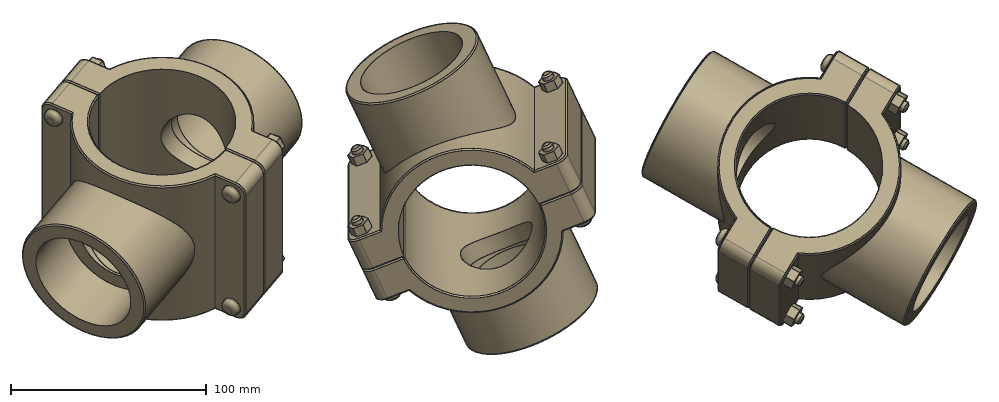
import cadquery as cq
import math


LENGTH = 156.0
WIDTH = 122.0
HEIGHT = 98.0
COLLAR_RADIUS = 46.8
BORE_DIAMETER = 75.0
BORE_RADIUS = BORE_DIAMETER / 2
FLANGE_THICKNESS = 18.7
CORNER_RADIUS = 6.2
EDGE_CHAMFER = 0.75
ROOT_X = math.sqrt(COLLAR_RADIUS**2 - FLANGE_THICKNESS**2)

BRANCH_DIAMETER = 73.6
SOCKET_DIAMETER = 56.6
SOCKET_DEPTH = 30.0
PORT_DIAMETER = 40.0

SCREW_X = 53.0
SCREW_Z = 41.0
HEAD_DIAMETER = 10.0
HEAD_HEIGHT = 3.9
HEAD_ROUND = 3.0
NUT_ACROSS_FLATS = 9.8
NUT_HEIGHT = 5.1
SHANK_DIAMETER = 6.0
SHANK_LENGTH = 8.1
TIP_CHAMFER = 1.0

TOLERANCE = 0.02


def rod_along_y(diameter, y_start, y_end, x=0.0, z=0.0):
    """Round bar parallel to Y."""
    return cq.Workplane("XZ", origin=(x, y_start, z)).circle(diameter / 2).extrude(y_start - y_end)


def column(radius):
    """Full-height cylinder about the Z axis."""
    return cq.Workplane("XY").circle(radius).extrude(HEIGHT / 2, both=True)


def is_root(edge):
    """True for the inside corners between flange and collar."""
    center = edge.Center()
    return abs(abs(center.x) - ROOT_X) < TOLERANCE and abs(center.z) < TOLERANCE


def is_bore_rim(edge):
    return edge.geomType() == "CIRCLE" and abs(edge.radius() - BORE_RADIUS) < TOLERANCE


def clamp_half(chamfer_bore_rim):
    """Half of the clamp on the +Y side, with its sharp outer edges broken."""
    flange = (
        cq.Workplane("XY")
        .box(WIDTH, 2 * FLANGE_THICKNESS, HEIGHT)
        .edges("|Y")
        .fillet(CORNER_RADIUS)
    )
    positive_y = cq.Workplane("XY").box(LENGTH, LENGTH, LENGTH).translate((0, LENGTH / 2, 0))
    half = column(COLLAR_RADIUS).union(flange).cut(column(BORE_RADIUS)).intersect(positive_y)

    chamfered = [edge for edge in half.edges("not |Y").vals() if not is_root(edge)]
    if not chamfer_bore_rim:
        chamfered = [edge for edge in chamfered if not is_bore_rim(edge)]
    return half.newObject(chamfered).chamfer(EDGE_CHAMFER)


def screw_head(x, z):
    """Button head on the -Y flange face."""
    seat = -FLANGE_THICKNESS
    return rod_along_y(HEAD_DIAMETER, seat, seat - HEAD_HEIGHT, x, z).faces("<Y").edges().fillet(HEAD_ROUND)


def nut_and_tip(x, z):
    """Hexagon nut on the +Y flange face, with the screw tip standing out of it."""
    across_corners = NUT_ACROSS_FLATS / math.cos(math.pi / 6)
    seat = FLANGE_THICKNESS
    nut = cq.Workplane("XZ", origin=(x, seat, z)).polygon(6, across_corners).extrude(-NUT_HEIGHT)
    tip = rod_along_y(SHANK_DIAMETER, seat, seat + SHANK_LENGTH, x, z).faces(">Y").chamfer(TIP_CHAMFER)
    return nut.union(tip)


def make_clamp():
    """Both halves joined by their screws; a V groove marks the parting plane."""
    front_half = clamp_half(chamfer_bore_rim=True).mirror("XZ")
    back_half = clamp_half(chamfer_bore_rim=False)
    body = front_half.union(back_half)
    body = body.cut(rod_along_y(PORT_DIAMETER, -LENGTH / 2, LENGTH / 2))
    for x in (-SCREW_X, SCREW_X):
        for z in (-SCREW_Z, SCREW_Z):
            body = body.union(screw_head(x, z)).union(nut_and_tip(x, z))
    return body


def make_branch(angle):
    """Branch pipe pointing to +Y, then turned about Z by the angle in degrees."""
    end = LENGTH / 2
    pipe = rod_along_y(BRANCH_DIAMETER, 0, end).faces(">Y").chamfer(EDGE_CHAMFER)
    saddled = pipe.cut(column(COLLAR_RADIUS))
    port = rod_along_y(PORT_DIAMETER, 0, end)
    socket = rod_along_y(SOCKET_DIAMETER, end - SOCKET_DEPTH, end)
    return saddled.cut(port).cut(socket).rotate((0, 0, 0), (0, 0, 1), angle)


clamp = make_clamp()
branches = [make_branch(angle).solids().val() for angle in (0, 180)]

result = cq.Compound.makeCompound([clamp.solids().val(), *branches])